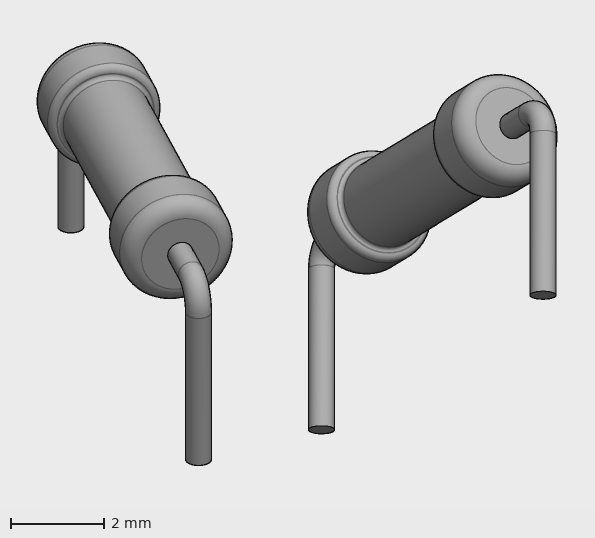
import cadquery as cq
import math

SPAN = 11.05
HEIGHT = 5.5
BODY_LENGTH = 7.5
CAP_DIAMETER = 2.5
BARREL_DIAMETER = 1.95
CAP_LENGTH = 1.37
OUTER_ROUND = 0.39
INNER_ROUND = 0.17
ROOT_FILLET = 0.1
LEAD_DIAMETER = 0.56
BEND_RADIUS = 0.62

ARC_MID = 1 - math.cos(math.pi / 4)

cap_radius = CAP_DIAMETER / 2
barrel_radius = BARREL_DIAMETER / 2
body_end = BODY_LENGTH / 2
lead_offset = (SPAN - LEAD_DIAMETER) / 2
lead_tip = cap_radius - HEIGHT


def make_cap(side):
    """End cap as a rounded disc; side is -1 for the left end and +1 for the right."""
    cap = (
        cq.Workplane("YZ", origin=(side * (body_end - CAP_LENGTH), 0, 0))
        .circle(cap_radius)
        .extrude(side * CAP_LENGTH)
    )
    outward, inward = (">X", "<X") if side > 0 else ("<X", ">X")
    return cap.faces(outward).edges().fillet(OUTER_ROUND).faces(inward).edges().fillet(INNER_ROUND)


def make_root_fillet(side):
    """Concave ring filling the corner between the barrel and a cap's shoulder."""
    shoulder = side * (body_end - CAP_LENGTH)
    ring_start = shoulder - side * ROOT_FILLET
    arc_offset = ROOT_FILLET * ARC_MID
    return (
        cq.Workplane("XZ")
        .moveTo(ring_start, 0)
        .lineTo(ring_start, barrel_radius)
        .threePointArc(
            (shoulder - side * arc_offset, barrel_radius + arc_offset),
            (shoulder, barrel_radius + ROOT_FILLET),
        )
        .lineTo(shoulder, 0)
        .close()
        .revolve(360, (0, 0, 0), (1, 0, 0))
    )


def make_body():
    """Barrel with a rounded cap at each end, as one solid of revolution."""
    barrel_length = BODY_LENGTH - 2 * CAP_LENGTH
    body = cq.Workplane("YZ").circle(barrel_radius).extrude(barrel_length / 2, both=True)
    for side in (-1, 1):
        body = body.union(make_cap(side)).union(make_root_fillet(side))
    return body


def make_lead(side):
    """Round wire leaving a cap's end face along X, then bending down to its tip."""
    bend_start = lead_offset - BEND_RADIUS
    mid_offset = BEND_RADIUS * ARC_MID
    path = (
        cq.Workplane("XZ")
        .moveTo(side * body_end, 0)
        .lineTo(side * bend_start, 0)
        .threePointArc(
            (side * (lead_offset - mid_offset), -mid_offset),
            (side * lead_offset, -BEND_RADIUS),
        )
        .lineTo(side * lead_offset, lead_tip)
    )
    return cq.Workplane("YZ", origin=(side * body_end, 0, 0)).circle(LEAD_DIAMETER / 2).sweep(path)


body = make_body()
leads = [make_lead(side) for side in (-1, 1)]

result = cq.Compound.makeCompound([body.val(), *(lead.val() for lead in leads)])